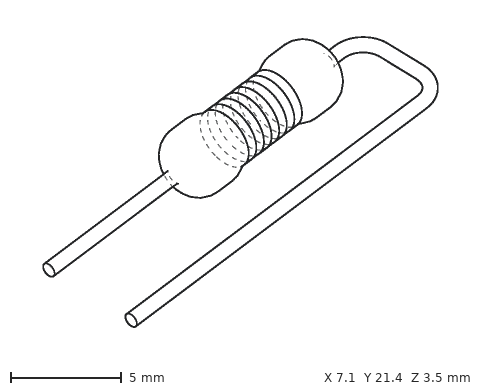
import cadquery as cq
import math

overall_length = 21.35
lead_diameter = 0.7
lead_spacing = 5.0
bend_radius = 1.4

body_length = 10.03
cap_diameter = 3.5
cap_band_length = 0.96
dome_radius = 1.22
neck_length = 1.05
waist_diameter = 2.97
flare_size = 0.32
rear_gap = 2.73

band_diameter = 2.99
band_count = 4

lead_radius = lead_diameter / 2
cap_radius = cap_diameter / 2
waist_radius = waist_diameter / 2

half_body = body_length / 2
cap_outer = half_body - dome_radius
cap_inner = cap_outer - cap_band_length
neck_middle = cap_inner - neck_length / 2
waist_end = cap_inner - neck_length
band_width = 2 * waist_end / (2 * band_count - 1)

hairpin_y = half_body + rear_gap - lead_radius
lead_tip_y = hairpin_y + lead_radius - overall_length


def arc_middle(center_x, center_y, radius, angle):
    """Point on a circle at an angle in degrees."""
    radians = math.radians(angle)
    return (center_x + radius * math.cos(radians), center_y + radius * math.sin(radians))


def make_body_end():
    """Rear end of the body: S-shaped neck, cap, dome and flare."""
    dome_center_x = cap_radius - dome_radius
    neck_middle_radius = (cap_radius + waist_radius) / 2
    half_step = neck_middle_radius - waist_radius
    half_neck = neck_length / 2
    neck_arc_radius = (half_neck**2 + half_step**2) / (2 * half_step)
    neck_angle = math.degrees(math.asin(half_neck / neck_arc_radius))
    flare_radius = lead_radius + flare_size
    flare_foot = cap_outer + math.sqrt(dome_radius**2 - (flare_radius - dome_center_x) ** 2)
    dome_end_angle = math.degrees(math.atan2(flare_foot - cap_outer, flare_radius - dome_center_x))
    flare_end = flare_foot + flare_size
    return (
        cq.Workplane("XY")
        .moveTo(0, waist_end)
        .lineTo(waist_radius, waist_end)
        .threePointArc(
            arc_middle(waist_radius + neck_arc_radius, waist_end, neck_arc_radius, 180 - neck_angle / 2),
            (neck_middle_radius, neck_middle),
        )
        .tangentArcPoint((cap_radius, cap_inner), relative=False)
        .lineTo(cap_radius, cap_outer)
        .threePointArc(
            arc_middle(dome_center_x, cap_outer, dome_radius, dome_end_angle / 2),
            (flare_radius, flare_foot),
        )
        .threePointArc(
            arc_middle(flare_radius, flare_end, flare_size, 225),
            (lead_radius, flare_end),
        )
        .lineTo(0, flare_end)
        .close()
        .revolve(360, (0, 0, 0), (0, 1, 0))
    )


def make_waist():
    """Straight middle of the body."""
    return cq.Workplane("XZ").circle(waist_radius).extrude(waist_end, both=True)


def make_color_band(index):
    """One raised band, counted from the front end of the waist."""
    front_y = -waist_end + 2 * index * band_width
    return (
        cq.Workplane("XZ", origin=(0, front_y, 0))
        .circle(band_diameter / 2)
        .extrude(-band_width)
    )


def make_lead():
    """Wire through the body, around two bends and back to the front."""
    bend_start_y = hairpin_y - bend_radius
    path = (
        cq.Workplane("XY")
        .moveTo(0, lead_tip_y)
        .lineTo(0, bend_start_y)
        .threePointArc(
            arc_middle(bend_radius, bend_start_y, bend_radius, 135),
            (bend_radius, hairpin_y),
        )
        .lineTo(lead_spacing - bend_radius, hairpin_y)
        .threePointArc(
            arc_middle(lead_spacing - bend_radius, bend_start_y, bend_radius, 45),
            (lead_spacing, bend_start_y),
        )
        .lineTo(lead_spacing, lead_tip_y)
    )
    return cq.Workplane("XZ", origin=(0, lead_tip_y, 0)).circle(lead_radius).sweep(path)


rear_end = make_body_end()
result = make_waist().union(rear_end).union(rear_end.mirror("XZ"))
for band_index in range(band_count):
    result = result.union(make_color_band(band_index))
result = result.union(make_lead())